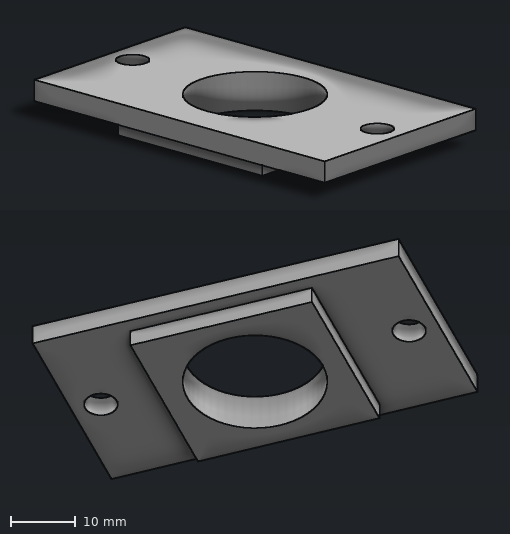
import cadquery as cq

plate_length = 60.3
plate_width = 34.95
plate_thickness = 3.5

total_height = 6.35
boss_side = 29.9
boss_height = total_height - plate_thickness

bore_diameter = 22.3
screw_hole_diameter = 5.2
screw_hole_spacing = 50.8

boss = cq.Workplane("XY").rect(boss_side, boss_side).extrude(boss_height)
plate = (
    cq.Workplane("XY")
    .workplane(offset=boss_height)
    .rect(plate_length, plate_width)
    .extrude(plate_thickness)
)
body = plate.union(boss)

screw_hole_centres = [(-screw_hole_spacing / 2, 0), (screw_hole_spacing / 2, 0)]
result = (
    body.faces(">Z")
    .workplane(origin=(0, 0, total_height))
    .hole(bore_diameter)
    .faces(">Z")
    .workplane(origin=(0, 0, total_height))
    .pushPoints(screw_hole_centres)
    .hole(screw_hole_diameter)
)